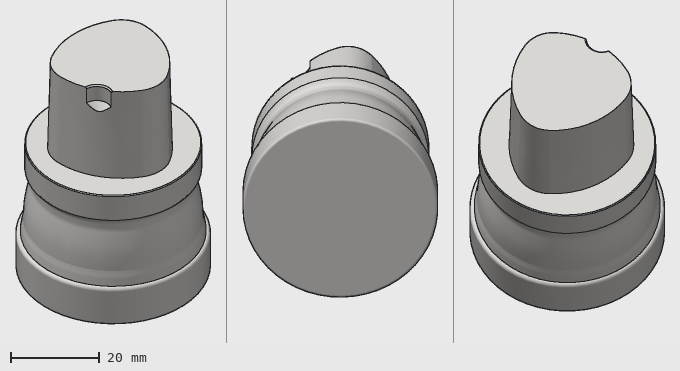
import cadquery as cq
import math

TOTAL_HEIGHT = 59.0

NUT_RADIUS = 22.0
NUT_HEIGHT = 10.15
NUT_TOP_FILLET = 0.9
NUT_BOTTOM_FILLET = 0.6

SKIRT_BOTTOM_RADIUS = 21.0
SKIRT_TOP_RADIUS = 20.75
SKIRT_TOP_Z = 11.85
FLARE_BOTTOM_RADIUS = 20.7
FLARE_BOTTOM_Z = 12.3
FLARE_TOP_RADIUS = 20.5
FLARE_TOP_Z = 13.35
BARREL_BOTTOM_RADIUS = 20.35
BARREL_BOTTOM_Z = 13.9
BARREL_MIDDLE_RADIUS = 20.0
BARREL_MIDDLE_Z = 18.75
BARREL_TOP_RADIUS = 18.95
BARREL_TOP_Z = 23.55
NECK_RADIUS = 37.5 / 2
NECK_BOTTOM_Z = 24.8
NECK_TOP_Z = 25.95
NECK_FILLET = 2.05
COLLAR_RADIUS = 40.0 / 2
COLLAR_TOP_Z = 35.0
COLLAR_CHAMFER = 0.25

LOBE_REACH = 15.05
SIDE_REACH = 13.15
LOBE_ARC_RADIUS = 8.15
TAPER_PER_SIDE = 1 / 40
LOBE_COUNT = 3

NOTCH_RADIUS = 3.4
NOTCH_AXIS_Y = -14.3
NOTCH_DEPTH = 4.3
NOTCH_TIP_HEIGHT = 3.05
NOTCH_CHAMFER = 0.35


def make_nut():
    nut = cq.Workplane("XY").circle(NUT_RADIUS).extrude(NUT_HEIGHT)
    nut = nut.faces(">Z").edges().fillet(NUT_TOP_FILLET)
    return nut.faces("<Z").edges().fillet(NUT_BOTTOM_FILLET)


def make_turned_body():
    fillet_half_angle = math.radians(22.5)
    fillet_end_angle = 2 * fillet_half_angle

    def neck_fillet_point(angle):
        radius = NECK_RADIUS + NECK_FILLET * (1 - math.cos(angle))
        return radius, NECK_TOP_Z + NECK_FILLET * math.sin(angle)

    fillet_end = neck_fillet_point(fillet_end_angle)
    collar_bottom_z = fillet_end[1] + COLLAR_RADIUS - fillet_end[0]
    profile = (
        cq.Workplane("XZ")
        .moveTo(0, NUT_HEIGHT)
        .lineTo(SKIRT_BOTTOM_RADIUS, NUT_HEIGHT)
        .lineTo(SKIRT_TOP_RADIUS, SKIRT_TOP_Z)
        .lineTo(FLARE_BOTTOM_RADIUS, FLARE_BOTTOM_Z)
        .lineTo(FLARE_TOP_RADIUS, FLARE_TOP_Z)
        .lineTo(BARREL_BOTTOM_RADIUS, BARREL_BOTTOM_Z)
        .threePointArc((BARREL_MIDDLE_RADIUS, BARREL_MIDDLE_Z), (BARREL_TOP_RADIUS, BARREL_TOP_Z))
        .tangentArcPoint((NECK_RADIUS, NECK_BOTTOM_Z), relative=False)
        .lineTo(NECK_RADIUS, NECK_TOP_Z)
        .threePointArc(neck_fillet_point(fillet_half_angle), fillet_end)
        .lineTo(COLLAR_RADIUS, collar_bottom_z)
        .lineTo(COLLAR_RADIUS, COLLAR_TOP_Z - COLLAR_CHAMFER)
        .lineTo(COLLAR_RADIUS - COLLAR_CHAMFER, COLLAR_TOP_Z)
        .lineTo(0, COLLAR_TOP_Z)
        .close()
    )
    return profile.revolve(360, (0, 0, 0), (0, 1, 0))


def polar(distance, angle):
    return distance * math.cos(angle), distance * math.sin(angle)


def add_shank_section(plane, inset):
    """Draw the three-lobed outline, moved inwards by inset, as six tangent arcs."""
    lobe_centre = LOBE_REACH - LOBE_ARC_RADIUS
    reach_gap = SIDE_REACH - LOBE_ARC_RADIUS
    side_centre = (lobe_centre**2 - reach_gap**2) / (2 * reach_gap - lobe_centre)
    side_arc_radius = SIDE_REACH + side_centre - inset

    lobe_step = 2 * math.pi / LOBE_COUNT
    half_step = lobe_step / 2
    centre_x, centre_y = polar(side_centre, half_step + math.pi)
    line_angle = math.atan2(-centre_y, lobe_centre - centre_x)
    joint_x = centre_x + side_arc_radius * math.cos(line_angle)
    joint_y = centre_y + side_arc_radius * math.sin(line_angle)
    joint_reach = math.hypot(joint_x, joint_y)
    joint_angle = math.atan2(joint_y, joint_x)

    first_lobe = math.pi / 2
    outline = plane.moveTo(*polar(joint_reach, first_lobe - joint_angle))
    for index in range(LOBE_COUNT):
        lobe = first_lobe + index * lobe_step
        next_lobe = lobe + lobe_step
        outline = outline.threePointArc(
            polar(LOBE_REACH - inset, lobe), polar(joint_reach, lobe + joint_angle)
        )
        outline = outline.threePointArc(
            polar(SIDE_REACH - inset, lobe + half_step), polar(joint_reach, next_lobe - joint_angle)
        )
    return outline.close()


def make_shank():
    height = TOTAL_HEIGHT - COLLAR_TOP_Z
    base = add_shank_section(cq.Workplane("XY").workplane(offset=COLLAR_TOP_Z), 0)
    top = add_shank_section(base.workplane(offset=height), height * TAPER_PER_SIDE)
    return top.loft(ruled=True)


def make_notch_cutter():
    shoulder_z = TOTAL_HEIGHT - NOTCH_DEPTH
    profile = (
        cq.Workplane("XZ", origin=(0, NOTCH_AXIS_Y, 0))
        .moveTo(0, shoulder_z - NOTCH_TIP_HEIGHT)
        .lineTo(NOTCH_RADIUS, shoulder_z)
        .lineTo(NOTCH_RADIUS, TOTAL_HEIGHT - NOTCH_CHAMFER)
        .lineTo(NOTCH_RADIUS + NOTCH_CHAMFER, TOTAL_HEIGHT)
        .lineTo(0, TOTAL_HEIGHT)
        .close()
    )
    return profile.revolve(360, (0, 0, 0), (0, 1, 0))


def make_holder():
    return make_turned_body().union(make_shank()).cut(make_notch_cutter())


nut = make_nut()
holder = make_holder()
result = cq.Compound.makeCompound([nut.val(), holder.val()])